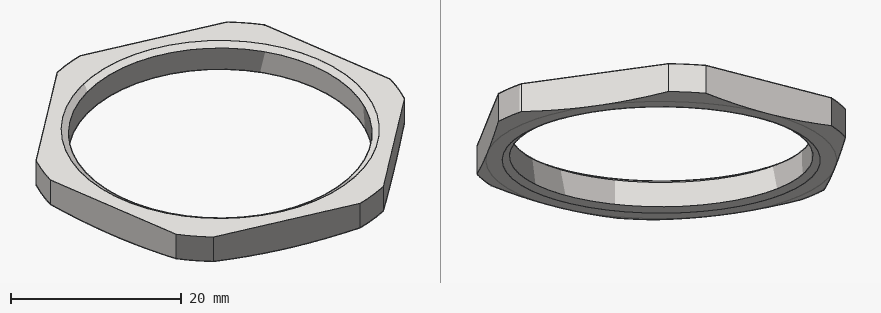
import cadquery as cq
import math

across_flats = 41.0
corner_diameter = 45.0
thickness = 4.0
bore_diameter = 35.5
bore_chamfer_width = 0.85
bore_chamfer_height = 0.5
rim_bevel_width = 2.0
rim_bevel_height = 0.55


def hexagon_blank():
    """Hexagonal prism with two flats facing +X and -X."""
    across_corners = across_flats / math.cos(math.pi / 6)
    return (
        cq.Workplane("XY")
        .polygon(6, across_corners)
        .extrude(thickness)
        .rotate((0, 0, 0), (0, 0, 1), 30)
    )


def corner_envelope():
    """Turned disc that rounds the hexagon corners and bevels their lower edge."""
    return (
        cq.Workplane("XY")
        .circle(corner_diameter / 2)
        .extrude(thickness)
        .faces("<Z")
        .chamfer(rim_bevel_height, rim_bevel_width)
    )


def bore_cutter():
    """Through bore, opened by a chamfer at each end."""
    bore_radius = bore_diameter / 2
    mouth_radius = bore_radius + bore_chamfer_width
    profile = [
        (0, 0),
        (mouth_radius, 0),
        (bore_radius, bore_chamfer_height),
        (bore_radius, thickness - bore_chamfer_height),
        (mouth_radius, thickness),
        (0, thickness),
    ]
    return cq.Workplane("XZ").polyline(profile).close().revolve(360, (0, 0, 0), (0, 1, 0))


result = hexagon_blank().intersect(corner_envelope()).cut(bore_cutter())